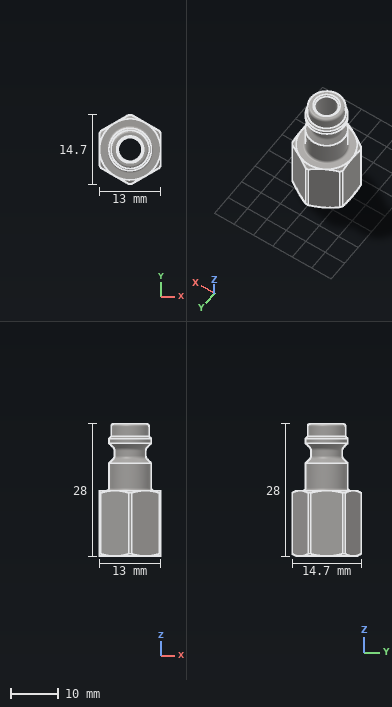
import cadquery as cq
import math

TOTAL_HEIGHT = 28.0

HEX_ACROSS_FLATS = 13.0
HEX_CORNER_DIAMETER = 14.65
HEX_HEIGHT = 13.85
HEX_FACE_DIAMETER = 12.95
HEX_CHAMFER_ANGLE = 30.0

PLUG_DIAMETER = 9.0
PLUG_ROOT_FILLET = 0.5
NECK_DIAMETER = 6.65
NECK_FILLET = 0.98
LOWER_CONE_START = 19.65
COLLAR_BOTTOM = 23.88
COLLAR_TOP = 24.85
NOSE_DIAMETER = 8.1
NOSE_BOTTOM = 25.3
NOSE_FILLET = 0.6

BORE_DIAMETER = 5.0
MOUTH_DIAMETER = 5.7
MOUTH_DEPTH = (MOUTH_DIAMETER - BORE_DIAMETER) / 2


def revolve_outline(outline):
    """Revolve a closed radius-height outline about the Z axis."""
    return outline.close().revolve(360, (0, 0, 0), (0, 1, 0))


def make_hex_body():
    """Hexagon with flats facing +-X, rounded corners and conical end chamfers."""
    circumscribed = HEX_ACROSS_FLATS / math.cos(math.radians(30))
    prism = (
        cq.Workplane("XY")
        .polygon(6, circumscribed)
        .extrude(HEX_HEIGHT)
        .rotate((0, 0, 0), (0, 0, 1), 30)
    )
    corner_radius = HEX_CORNER_DIAMETER / 2
    face_radius = HEX_FACE_DIAMETER / 2
    chamfer_height = (corner_radius - face_radius) * math.tan(math.radians(HEX_CHAMFER_ANGLE))
    envelope = revolve_outline(
        cq.Workplane("XZ")
        .lineTo(face_radius, 0)
        .lineTo(corner_radius, chamfer_height)
        .lineTo(corner_radius, HEX_HEIGHT - chamfer_height)
        .lineTo(face_radius, HEX_HEIGHT)
        .lineTo(0, HEX_HEIGHT)
    )
    return prism.intersect(envelope)


def make_plug():
    """Turned plug with a locking neck between two 45 degree cones."""
    plug_radius = PLUG_DIAMETER / 2
    neck_radius = NECK_DIAMETER / 2
    nose_radius = NOSE_DIAMETER / 2
    root_radius = plug_radius + PLUG_ROOT_FILLET

    cone_rise = plug_radius - neck_radius
    tangent_length = NECK_FILLET * math.tan(math.radians(22.5))
    tangent_leg = tangent_length * math.cos(math.radians(45))
    lower_corner = LOWER_CONE_START + cone_rise
    upper_corner = COLLAR_BOTTOM - cone_rise

    outline = (
        cq.Workplane("XZ")
        .moveTo(0, HEX_HEIGHT)
        .lineTo(root_radius, HEX_HEIGHT)
        .radiusArc((plug_radius, HEX_HEIGHT + PLUG_ROOT_FILLET), PLUG_ROOT_FILLET)
        .lineTo(plug_radius, LOWER_CONE_START)
        .lineTo(neck_radius + tangent_leg, lower_corner - tangent_leg)
        .radiusArc((neck_radius, lower_corner + tangent_length), NECK_FILLET)
        .lineTo(neck_radius, upper_corner - tangent_length)
        .radiusArc((neck_radius + tangent_leg, upper_corner + tangent_leg), NECK_FILLET)
        .lineTo(plug_radius, COLLAR_BOTTOM)
        .lineTo(plug_radius, COLLAR_TOP)
        .lineTo(nose_radius, NOSE_BOTTOM)
        .lineTo(nose_radius, TOTAL_HEIGHT - NOSE_FILLET)
        .radiusArc((nose_radius - NOSE_FILLET, TOTAL_HEIGHT), -NOSE_FILLET)
        .lineTo(0, TOTAL_HEIGHT)
    )
    return revolve_outline(outline)


def make_bore():
    """Through bore with a conical mouth at the top."""
    bore_radius = BORE_DIAMETER / 2
    mouth_radius = MOUTH_DIAMETER / 2
    return revolve_outline(
        cq.Workplane("XZ")
        .lineTo(bore_radius, 0)
        .lineTo(bore_radius, TOTAL_HEIGHT - MOUTH_DEPTH)
        .lineTo(mouth_radius, TOTAL_HEIGHT)
        .lineTo(0, TOTAL_HEIGHT)
    )


result = make_hex_body().union(make_plug()).cut(make_bore())